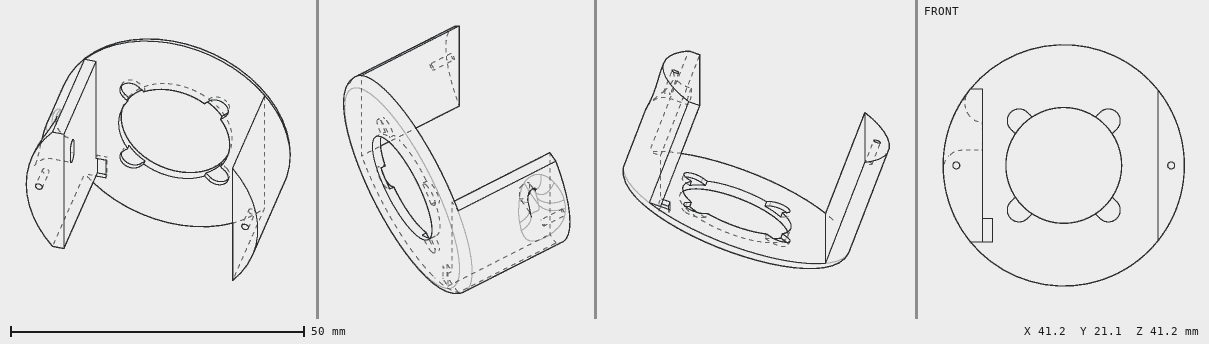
import cadquery as cq

outer_radius = 20.6
total_depth = 21.05
plate_thickness = 1.6
back_round = 1.55
bore_diameter = 19.75

left_inner_x = -13.9
right_inner_x = 16.12
left_arm_height = 26.2

pilot_diameter = 1.2
pilot_offset = 18.35
pilot_depth = 4.12

recess_depth = 0.82
lobe_radius = 2.0
lobe_offset = 7.63
pocket_width = 1.75
pocket_height = 4.05

slot_width = 2.0
slot_height = 4.6
slot_z = 4.95
slot_from_back = 16.05
slot_flare = 3.42
slot_rim_limit = 18.15

plate_back_y = total_depth / 2
plate_inner_y = plate_back_y - plate_thickness
arm_end_y = -total_depth / 2
arm_length = total_depth - plate_thickness


def facing_front(y):
    """Sketch plane at the given Y: local x is X, local y is Z, normal is -Y."""
    return cq.Workplane("XZ", origin=(0, y, 0))


def make_plate():
    disc = facing_front(plate_back_y).circle(outer_radius).extrude(plate_thickness)
    return disc.faces(">Y").edges().fillet(back_round)


def make_arm(x_min, x_max, height):
    """Part of the outer cylinder lying between two X positions."""
    cylinder = facing_front(plate_inner_y).circle(outer_radius).extrude(arm_length)
    limits = cq.Workplane("XY").box(x_max - x_min, total_depth, height)
    return cylinder.intersect(limits.translate(((x_min + x_max) / 2, 0, 0)))


def make_left_arm():
    arm = make_arm(-outer_radius, left_inner_x, left_arm_height)
    slot_y = plate_back_y - slot_from_back
    slot = (
        cq.Workplane("YZ", origin=(-outer_radius, slot_y, slot_z))
        .slot2D(slot_height, slot_width, 90)
        .extrude(outer_radius)
    )
    rim_box = cq.selectors.BoxSelector(
        (-outer_radius, slot_y - slot_width, slot_z - slot_height),
        (-slot_rim_limit, slot_y + slot_width, slot_z + slot_height),
    )
    return arm.cut(slot).edges(rim_box).fillet(slot_flare)


def make_lobe_recesses():
    """Four round-ended channels running diagonally out of the bore."""
    reach = lobe_offset * 2**0.5
    channel = (
        facing_front(plate_inner_y + recess_depth)
        .slot2D(2 * (reach + lobe_radius), 2 * lobe_radius)
        .extrude(recess_depth)
    )
    axis_start = (0, 0, 0)
    axis_end = (0, 1, 0)
    rising = channel.rotate(axis_start, axis_end, 45)
    falling = channel.rotate(axis_start, axis_end, -45)
    return rising.union(falling)


def make_corner_pocket():
    """Rectangular recess beside the lower end of the left arm."""
    return (
        facing_front(plate_inner_y + recess_depth)
        .center(left_inner_x, -left_arm_height / 2)
        .rect(pocket_width, pocket_height, centered=False)
        .extrude(recess_depth)
    )


def make_pilot_holes():
    return (
        facing_front(arm_end_y + pilot_depth)
        .pushPoints([(-pilot_offset, 0), (pilot_offset, 0)])
        .circle(pilot_diameter / 2)
        .extrude(pilot_depth)
    )


bore = facing_front(plate_back_y).circle(bore_diameter / 2).extrude(plate_thickness)

result = (
    make_plate()
    .union(make_left_arm())
    .union(make_arm(right_inner_x, outer_radius, 2 * outer_radius))
    .cut(bore)
    .cut(make_lobe_recesses())
    .cut(make_corner_pocket())
    .cut(make_pilot_holes())
)